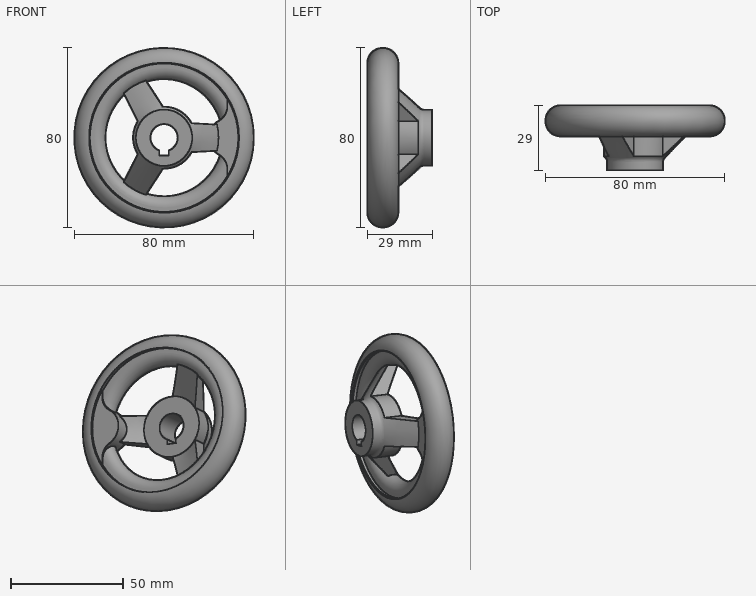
import cadquery as cq
import math


wheel_radius = 40.0
rim_depth = 14.0
total_depth = 28.95
grip_radius = rim_depth / 2
grip_center_radius = wheel_radius - grip_radius
rim_mid_y = total_depth - grip_radius
inner_opening_radius = 26.0
inner_tube_depth = 10.0
inner_tube_radius = inner_tube_depth / 2
inner_center_radius = inner_opening_radius + inner_tube_radius
lip_width = 0.4

neck_diameter = 25.0
neck_radius = neck_diameter / 2
neck_length = 3.75
shoulder_radius = 13.1
shoulder_y = 5.4
transition_mid_step = 0.15
transition_mid_length = 0.95
hub_radius = 13.8
hub_length = total_depth - rim_depth
bore_radius = 6.0
key_width = 4.15
key_reach = 7.8

pad_center_radius = 28.7
pad_radius = 8.7
pad_fillet_radius = 7.4
pad_fillet_center_x = 20.7
pad_thickness = 10.8
pad_proud = 0.1
pad_face_y = rim_mid_y - inner_tube_radius - pad_proud

spoke_count = 3
spoke_half_width = 6.4
spoke_taper = 0.055
spoke_root_radius = 8.0
web_back_offset = 2.8
web_end_radius = 26.8
spoke_tip_radius = 24.2
cone_slope = (pad_face_y - shoulder_y) / (spoke_tip_radius - shoulder_radius)
hub_cone_y = shoulder_y + cone_slope * (hub_radius - shoulder_radius)


def make_rim():
    """Large half-round grip outside, smaller half-round tube inside, with a step between."""
    lip_radius = grip_center_radius + lip_width
    lip_y = rim_mid_y - math.sqrt(grip_radius**2 - lip_width**2)
    step_front_y = rim_mid_y - inner_tube_radius
    step_back_y = rim_mid_y + inner_tube_radius
    profile = (
        cq.Workplane("XY")
        .moveTo(inner_center_radius, step_front_y)
        .lineTo(grip_center_radius, step_front_y)
        .lineTo(grip_center_radius, lip_y + lip_width)
        .lineTo(lip_radius, lip_y)
        .threePointArc((wheel_radius, rim_mid_y), (grip_center_radius, total_depth))
        .lineTo(grip_center_radius, step_back_y)
        .lineTo(inner_center_radius, step_back_y)
        .threePointArc((inner_opening_radius, rim_mid_y), (inner_center_radius, step_front_y))
        .close()
    )
    return profile.revolve(360, (0, 0, 0), (0, 1, 0))


def make_hub():
    """Neck, concave transition, conical shoulder and cylindrical body."""
    transition_mid = (neck_radius + transition_mid_step, neck_length + transition_mid_length)
    profile = (
        cq.Workplane("XY")
        .lineTo(neck_radius, 0)
        .lineTo(neck_radius, neck_length)
        .threePointArc(transition_mid, (shoulder_radius, shoulder_y))
        .lineTo(hub_radius, hub_cone_y)
        .lineTo(hub_radius, hub_length)
        .lineTo(0, hub_length)
        .close()
    )
    return profile.revolve(360, (0, 0, 0), (0, 1, 0))


def make_spokes():
    """Tapered bars trimmed by a common cone-shaped web."""
    root = spoke_root_radius
    end = web_end_radius
    web_front_y = shoulder_y + cone_slope * (end - shoulder_radius)
    web_back_y = rim_mid_y + web_back_offset
    web = (
        cq.Workplane("XY")
        .moveTo(root, hub_length)
        .lineTo(root, shoulder_y)
        .lineTo(shoulder_radius, shoulder_y)
        .lineTo(end, web_front_y)
        .lineTo(end, web_back_y)
        .lineTo(hub_radius, hub_length)
        .close()
        .revolve(360, (0, 0, 0), (0, 1, 0))
    )
    root_half = spoke_half_width + spoke_taper * (hub_radius - root)
    end_half = spoke_half_width - spoke_taper * (end - hub_radius)
    bar = (
        cq.Workplane("XZ")
        .polyline([(root, -root_half), (end, -end_half), (end, end_half), (root, root_half)])
        .close()
        .extrude(-total_depth)
    )
    spoke = web.intersect(bar)
    spokes = spoke
    for i in range(1, spoke_count):
        spokes = spokes.union(spoke.rotate((0, 0, 0), (0, 1, 0), 360 * i / spoke_count))
    return spokes


def make_handle_pad():
    """Round boss on the rim, blended into it by a concave arc on each side."""
    center_distance = pad_radius + pad_fillet_radius
    offset_x = pad_center_radius - pad_fillet_center_x
    fillet_z = math.sqrt(center_distance**2 - offset_x**2)
    tangent_x = pad_center_radius - offset_x * pad_radius / center_distance
    tangent_z = fillet_z * pad_radius / center_distance
    fillet_end_x = pad_fillet_center_x + pad_fillet_radius
    diagonal = pad_fillet_radius * math.sqrt(0.5)
    fillet_mid_x = pad_fillet_center_x + diagonal
    fillet_mid_z = fillet_z - diagonal
    outer_z = math.sqrt(grip_center_radius**2 - fillet_end_x**2)
    outline = (
        cq.Workplane("XZ")
        .moveTo(fillet_end_x, outer_z)
        .lineTo(fillet_end_x, fillet_z)
        .threePointArc((fillet_mid_x, fillet_mid_z), (tangent_x, tangent_z))
        .threePointArc((pad_center_radius - pad_radius, 0), (tangent_x, -tangent_z))
        .threePointArc((fillet_mid_x, -fillet_mid_z), (fillet_end_x, -fillet_z))
        .lineTo(fillet_end_x, -outer_z)
        .threePointArc((grip_center_radius, 0), (fillet_end_x, outer_z))
        .close()
    )
    return outline.extrude(-pad_thickness).translate((0, pad_face_y, 0))


def make_keyed_bore():
    """Through bore with a keyway pointing to -Z."""
    bore = cq.Workplane("XZ").circle(bore_radius).extrude(-total_depth)
    key = cq.Workplane("XY").box(key_width, total_depth, key_reach, centered=(True, False, False))
    return bore.union(key.translate((0, 0, -key_reach)))


result = make_rim().union(make_handle_pad()).union(make_spokes()).union(make_hub())
result = result.cut(make_keyed_bore())